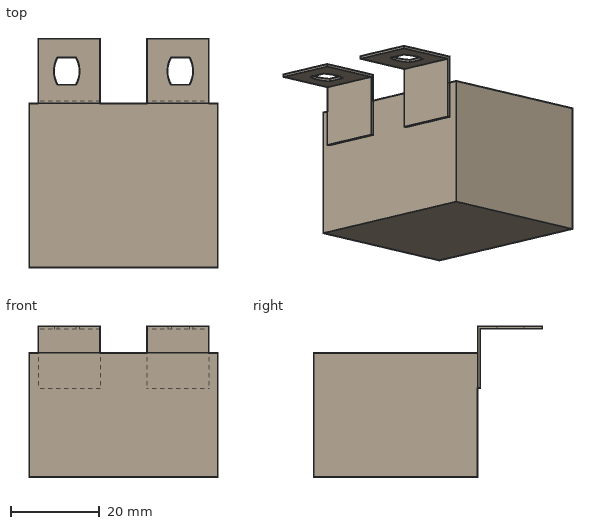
import cadquery as cq

case_width = 42.5
case_depth = 37.0
case_height = 28.0

terminal_width = 14.0
terminal_leg = 14.0
terminal_thickness = 0.6
terminal_rise = 6.0
terminal_reach = 14.6
terminal_inset = 2.0
terminal_centre = case_width / 2 - terminal_inset - terminal_width / 2
terminal_top = case_height + terminal_rise

hole_spacing = 25.6
hole_length = 6.1
hole_end_width = 4.15
hole_middle_width = 5.75
hole_centre_x = hole_spacing / 2
hole_centre_y = case_depth + terminal_reach / 2


def make_case():
    return cq.Workplane("XY").box(
        case_width, case_depth, case_height, centered=(True, False, False)
    )


def make_hole_cutter(side):
    half_length = hole_length / 2
    half_end = hole_end_width / 2
    half_middle = hole_middle_width / 2
    return (
        cq.Workplane("XY", origin=(side * hole_centre_x, hole_centre_y, 0))
        .moveTo(-half_end, -half_length)
        .lineTo(half_end, -half_length)
        .threePointArc((half_middle, 0), (half_end, half_length))
        .lineTo(-half_end, half_length)
        .threePointArc((-half_middle, 0), (-half_end, -half_length))
        .close()
        .extrude(terminal_top)
    )


def make_terminal(side):
    """Terminal on the left (side = -1) or on the right (side = 1)."""
    back = case_depth
    end = back + terminal_reach
    strip = (
        cq.Workplane("YZ", origin=(side * terminal_centre, 0, 0))
        .moveTo(back, terminal_top - terminal_leg)
        .lineTo(back, terminal_top)
        .lineTo(end, terminal_top)
        .lineTo(end, terminal_top - terminal_thickness)
        .lineTo(back + terminal_thickness, terminal_top - terminal_thickness)
        .lineTo(back + terminal_thickness, terminal_top - terminal_leg)
        .close()
        .extrude(terminal_width / 2, both=True)
    )
    return strip.cut(make_hole_cutter(side))


case = make_case()
terminals = [make_terminal(side) for side in (-1, 1)]

result = cq.Compound.makeCompound([case.val(), *[terminal.val() for terminal in terminals]])